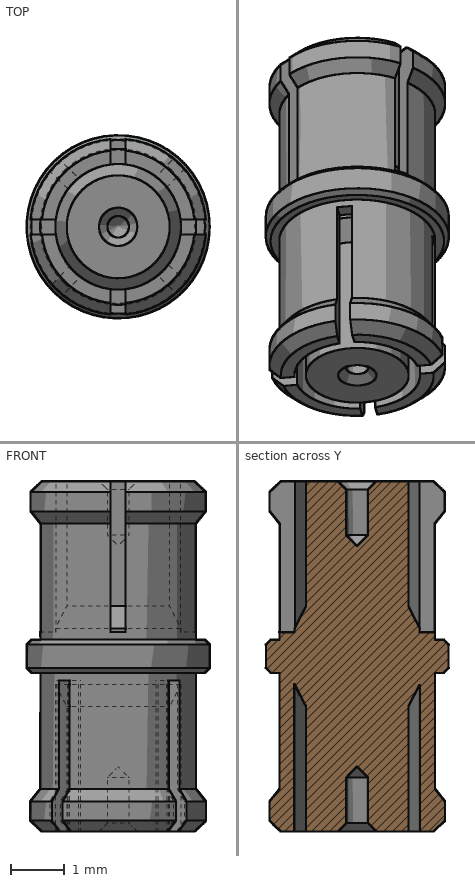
import cadquery as cq

total_height = 6.5
mid_height = total_height / 2

body_radius = 1.447
head_radius = 1.632
head_tip_radius = 1.42
head_tip_height = 0.2
head_land_end = 0.56
head_end = 0.79

flange_radius = 1.7
flange_height = 0.62
flange_chamfer = 0.09

socket_radius = 1.165
socket_depth = 2.73
slot_width = 0.28
slot_depth = 2.8
slot_count = 4
upper_slot_angle = 0
lower_slot_angle = 46

contact_radius = 0.955
contact_flare_start = 2.32

hole_radius = 0.2
hole_depth = 1.0
hole_mouth_radius = 0.355
hole_mouth_depth = 0.155


def revolve_profile(points):
    """Revolve a closed (radius, height) outline about the Z axis."""
    return cq.Workplane("XZ").polyline(points).close().revolve(360, (0, 0, 0), (0, 1, 0))


def make_half_shell():
    """Lower half of the outside: head, body and half of the flange."""
    flange_base = mid_height - flange_height / 2
    return revolve_profile([
        (0, 0),
        (head_tip_radius, 0),
        (head_radius, head_tip_height),
        (head_radius, head_land_end),
        (body_radius, head_end),
        (body_radius, flange_base),
        (flange_radius - flange_chamfer, flange_base),
        (flange_radius, flange_base + flange_chamfer),
        (flange_radius, mid_height),
        (0, mid_height),
    ])


def make_socket():
    """Ring-shaped cavity around the centre contact, open at the free end."""
    return revolve_profile([
        (contact_radius, 0),
        (socket_radius, 0),
        (socket_radius, socket_depth),
        (contact_radius, contact_flare_start),
    ])


def make_contact_hole():
    """Blind hole with a tapered mouth and a conical bottom."""
    return revolve_profile([
        (0, 0),
        (hole_mouth_radius, 0),
        (hole_radius, hole_mouth_depth),
        (hole_radius, hole_depth),
        (0, hole_depth + hole_radius),
    ])


def make_slots(first_angle):
    """Slots through the sleeve wall that split it into spring fingers."""
    slot = cq.Workplane("XY").box(flange_radius, slot_width, slot_depth, centered=(False, True, False))
    core = cq.Workplane("XY").circle(socket_radius).extrude(slot_depth)
    wall_slot = slot.cut(core)
    slots = cq.Workplane("XY")
    for index in range(slot_count):
        angle = first_angle + index * 360 / slot_count
        slots = slots.add(wall_slot.rotate((0, 0, 0), (0, 0, 1), angle))
    return slots.combine()


def make_half(first_slot_angle):
    """Lower half of the part, slotted from the given angle about the Z axis."""
    half = make_half_shell().cut(make_socket()).cut(make_contact_hole())
    return half.cut(make_slots(first_slot_angle))


lower_half = make_half(lower_slot_angle)
upper_half = make_half(upper_slot_angle).mirror("XY").translate((0, 0, total_height))
result = lower_half.union(upper_half)